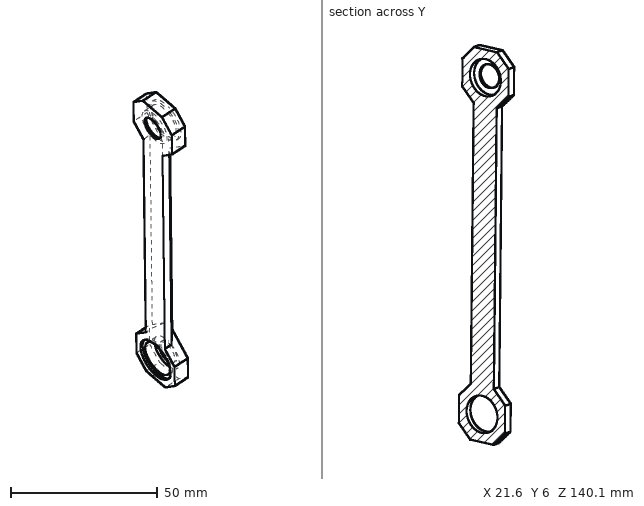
import cadquery as cq

thickness = 6.0
head_width = 20.0
head_corner = 5.0
hole_spacing = 120.0
bar_width = head_width / 2
bevel_depth = thickness / 2
tilt = 0.7

bore_diameter = 8.4
seat_diameter = 13.0
seat_depth = 5.2
mouth_diameter = 15.7
mouth_depth = 1.0

front_y = -thickness / 2
rear_y = thickness / 2
upper_z = hole_spacing / 2
lower_z = -upper_z


def head(center_z, bar_side):
    """Octagonal end block whose two bar-side flanks run on to meet in a point behind the bar.

    bar_side is +1 where the bar lies above the head and -1 where it lies below.
    """
    half_width = head_width / 2
    half_flat = half_width - head_corner
    outer_z = -bar_side * half_width
    point_z = bar_side * (half_flat + half_width)
    outline = [
        (-half_flat, outer_z),
        (half_flat, outer_z),
        (half_width, -bar_side * half_flat),
        (half_width, bar_side * half_flat),
        (0, point_z),
        (-half_width, bar_side * half_flat),
        (-half_width, -bar_side * half_flat),
    ]
    block = cq.Workplane("XZ").polyline(outline).close().extrude(thickness / 2, both=True)
    return block.translate((0, 0, center_z))


def bar():
    """Connecting bar, bevelled along both rear edges."""
    half_width = bar_width / 2
    rear_half_width = half_width - bevel_depth
    bevel_y = rear_y - bevel_depth
    section = [
        (-half_width, front_y),
        (half_width, front_y),
        (half_width, bevel_y),
        (rear_half_width, rear_y),
        (-rear_half_width, rear_y),
        (-half_width, bevel_y),
    ]
    return cq.Workplane("XY").workplane(offset=lower_z).polyline(section).close().extrude(hole_spacing)


def bore(center_z):
    """Through hole along Y."""
    start = cq.Vector(0, front_y, center_z)
    return cq.Solid.makeCylinder(bore_diameter / 2, thickness, start, cq.Vector(0, 1, 0))


def seat(center_z, face_y, inward_sign):
    """Stepped counterbore sunk into a head from the face at face_y."""
    start = cq.Vector(0, face_y, center_z)
    inward = cq.Vector(0, inward_sign, 0)
    pocket = cq.Solid.makeCylinder(seat_diameter / 2, seat_depth, start, inward)
    mouth = cq.Solid.makeCylinder(mouth_diameter / 2, mouth_depth, start, inward)
    return pocket.fuse(mouth)


link = head(upper_z, -1).union(head(lower_z, 1)).union(bar())
link = link.cut(bore(upper_z)).cut(bore(lower_z))
link = link.cut(seat(upper_z, rear_y, -1)).cut(seat(lower_z, front_y, 1))
result = link.rotate((0, 0, 0), (0, 1, 0), -tilt)